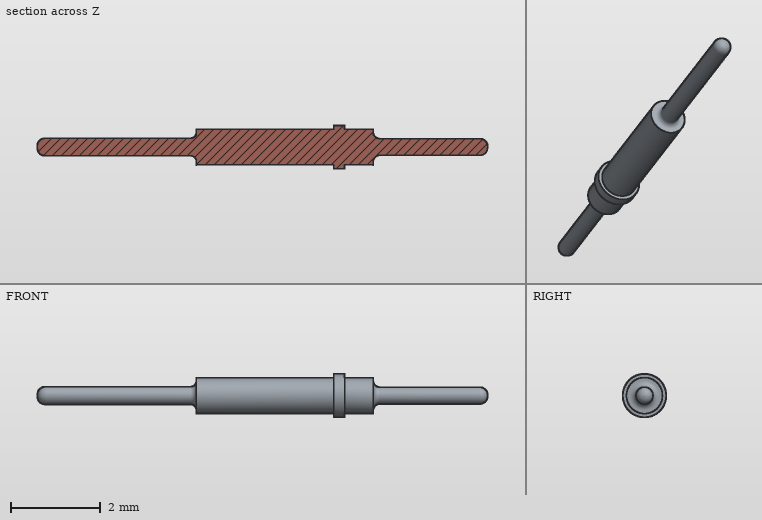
import cadquery as cq

total_length = 10.03
body_start = 3.54
body_end = 7.48
collar_start = 6.6
collar_width = 0.24

body_radius = 0.4
collar_radius = 0.97 / 2

left_pin_radius = 0.2
left_root_fillet = 0.12
right_pin_radius = 0.19
right_root_fillet = 0.14
tip_fillet = 0.18


def cylinder_along_x(start, end, radius):
    return cq.Workplane("YZ", origin=(start, 0, 0)).circle(radius).extrude(end - start)


def pin(tip, shoulder, radius, root_fillet):
    """Round pin from its tip to a body shoulder, revolved about the X axis."""
    outward = 1 if tip > shoulder else -1
    rim_radius = radius + root_fillet
    root_end = shoulder + outward * root_fillet
    tip_start = tip - outward * tip_fillet
    tip_flat_radius = radius - tip_fillet

    corner_offset = 1 - 0.5 ** 0.5
    root_offset = root_fillet * corner_offset
    tip_offset = tip_fillet * corner_offset
    root_middle = (shoulder + outward * root_offset, radius + root_offset)
    tip_middle = (tip - outward * tip_offset, radius - tip_offset)

    return (
        cq.Workplane("XY")
        .moveTo(shoulder, 0)
        .lineTo(shoulder, rim_radius)
        .threePointArc(root_middle, (root_end, radius))
        .lineTo(tip_start, radius)
        .threePointArc(tip_middle, (tip, tip_flat_radius))
        .lineTo(tip, 0)
        .close()
        .revolve(360, (0, 0, 0), (1, 0, 0))
    )


body = cylinder_along_x(body_start, body_end, body_radius)
collar = cylinder_along_x(collar_start, collar_start + collar_width, collar_radius)

left_pin = pin(0, body_start, left_pin_radius, left_root_fillet)
right_pin = pin(total_length, body_end, right_pin_radius, right_root_fillet)

result = body.union(collar).union(left_pin).union(right_pin)